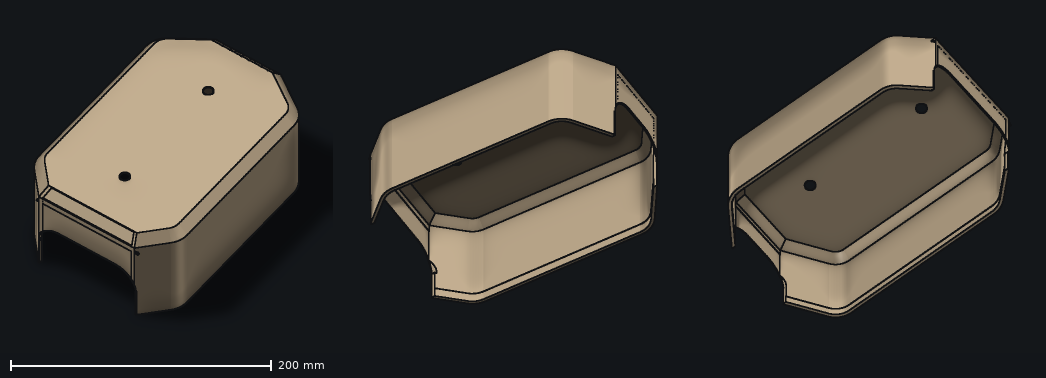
import math

import cadquery as cq

WIDTH = 140.4
LENGTH = 211.46
HEIGHT = 85.0
HALF_WIDTH = WIDTH / 2
HALF_LENGTH = LENGTH / 2
FRONT = -1
BACK = 1

FLAT_HALF = {FRONT: 45.3, BACK: 31.2}
SIDE_CORNER_Y = {FRONT: -78.9, BACK: 79.4}
SIDE_RADIUS = 20.0
TOP_CHAMFER = 8.0
SELECTION_MARGIN = 1.0

WALL = 3.0
END_SKIN = 0.8
UPPER_END_SKIN = 1.0
CAVITY_SHOULDER_Z = 70.4
TOP_SKIN = 1.0
CAVITY_CHAMFER = 7.1
REBATE_HEIGHT = 8.4
REBATE_DEPTH = 0.15

ARCH_HALF = {FRONT: 46.2, BACK: 31.2}
ARCH_TOP_Z = 45.8
ARCH_RADIUS = 20.0
ARCH_SPRING_Z = ARCH_TOP_Z - ARCH_RADIUS
ARCH_FLARE_DEGREES = 45.0
LEG_GAP_HALF = {FRONT: 45.2, BACK: 31.2}
LEG_SETBACK = {FRONT: 1.35, BACK: 0.7}

HOLE_DIAMETER = 8.4
HOLE_YS = (-55.7, 53.6)

SPUR_TIP_X = 48.3
SPUR_ROOT_X = 45.5
SPUR_BOTTOM_Z = 70.5
SPUR_HEIGHT = 3.0
SPUR_FRONT_Y = -105.1
SPUR_DEPTH = 1.5


def corner_angle(end):
    """Angle between a flat end and its slanted walls, in radians."""
    run = HALF_WIDTH - FLAT_HALF[end]
    rise = HALF_LENGTH - abs(SIDE_CORNER_Y[end])
    return math.atan2(rise, run)


def wall_outline(wall, skin):
    """Half outline points (+X side) moved inward by the wall and end skin thicknesses."""
    points = []
    for end in (FRONT, BACK):
        angle = corner_angle(end)
        flat_x = FLAT_HALF[end] - (wall - skin * math.cos(angle)) / math.sin(angle)
        side_shift = wall * math.tan((math.pi / 2 - angle) / 2)
        flat_point = (flat_x, end * (HALF_LENGTH - skin))
        side_point = (HALF_WIDTH - wall, SIDE_CORNER_Y[end] - end * side_shift)
        points.extend([flat_point, side_point][::-end])
    return points


def prism(wall, skin, height):
    """Upright prism on the plan outline, with the four side corners rounded."""
    half = wall_outline(wall, skin)
    mirrored = [(-x, y) for x, y in reversed(half)]
    body = cq.Workplane("XY").polyline(half + mirrored).close().extrude(height)
    side_edges = cq.selectors.BoxSelector(
        (-WIDTH, SIDE_CORNER_Y[FRONT] - SELECTION_MARGIN, 0),
        (WIDTH, SIDE_CORNER_Y[BACK] + SELECTION_MARGIN, height),
    )
    return body.edges("|Z").edges(side_edges).fillet(SIDE_RADIUS - wall)


def make_shell():
    outer = prism(0, 0, HEIGHT).faces(">Z").chamfer(TOP_CHAMFER)
    cavity = prism(WALL, END_SKIN, CAVITY_SHOULDER_Z)
    upper_cavity = prism(WALL, UPPER_END_SKIN, HEIGHT - TOP_SKIN).faces(">Z").chamfer(CAVITY_CHAMFER)
    rebate = prism(WALL - REBATE_DEPTH, END_SKIN, REBATE_HEIGHT)
    return outer.cut(cavity).cut(upper_cavity).cut(rebate)


def leg_cutter(end):
    """Gap below the arch, plus a slab that sets the ends of the slanted walls back."""
    base = cq.Workplane("XY", origin=(0, end * HALF_LENGTH, 0))
    gap = base.rect(2 * LEG_GAP_HALF[end], HALF_LENGTH).extrude(ARCH_SPRING_Z)
    slab = base.rect(WIDTH, 2 * LEG_SETBACK[end]).extrude(ARCH_SPRING_Z)
    return gap.union(slab)


def arch_profile(end):
    """Flat lintel with a quarter round at each side, drawn on the inner face of the end skin."""
    half = ARCH_HALF[end]
    lintel = half - ARCH_RADIUS
    diagonal = ARCH_RADIUS * math.sqrt(0.5)
    middle_x = lintel + diagonal
    middle_z = ARCH_SPRING_Z + diagonal
    return (
        cq.Workplane("XZ", origin=(0, end * (HALF_LENGTH - END_SKIN), 0))
        .moveTo(-half, ARCH_SPRING_Z)
        .threePointArc((-middle_x, middle_z), (-lintel, ARCH_TOP_Z))
        .lineTo(lintel, ARCH_TOP_Z)
        .threePointArc((middle_x, middle_z), (half, ARCH_SPRING_Z))
        .close()
    )


def arch_cutter(end):
    """Top of the opening: straight inside, flared outward through the end skin."""
    straight = arch_profile(end).extrude(end * HALF_LENGTH / 2)
    flare = arch_profile(end).extrude(-end * END_SKIN, taper=-ARCH_FLARE_DEGREES)
    return straight.union(flare)


def make_spur(side):
    """Triangular spur at one front corner; side is -1 or 1."""
    spur = [
        (side * SPUR_ROOT_X, SPUR_BOTTOM_Z),
        (side * SPUR_TIP_X, SPUR_BOTTOM_Z),
        (side * SPUR_ROOT_X, SPUR_BOTTOM_Z + SPUR_HEIGHT),
    ]
    plane = cq.Workplane("XZ", origin=(0, SPUR_FRONT_Y, 0))
    return plane.polyline(spur).close().extrude(-SPUR_DEPTH)


result = make_shell()
for end in (FRONT, BACK):
    result = result.cut(leg_cutter(end)).cut(arch_cutter(end))

screw_holes = (
    cq.Workplane("XY")
    .pushPoints([(0, y) for y in HOLE_YS])
    .circle(HOLE_DIAMETER / 2)
    .extrude(HEIGHT)
)
result = result.cut(screw_holes)

for side in (-1, 1):
    result = result.union(make_spur(side))